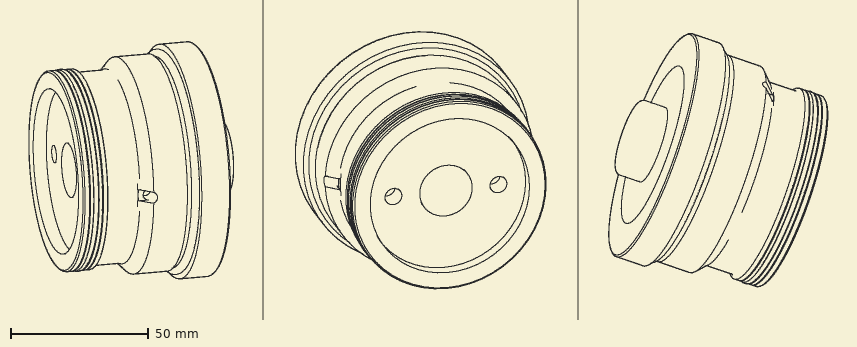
import cadquery as cq
import math


total_length = 63.5
flange_back = 54.0
flange_front = 42.95
flange_ring_width = 2.7
barrel_back = 38.4
barrel_front = 25.7
neck_front = 9.3

flange_radius = 42.9
flange_ring_radius = 41.15
relief_radius = 38.7
barrel_radius = 39.7
neck_radius = 35.3
nose_radius = 36.7
core_radius = 30.2
stub_radius = 14.3

flange_chamfer = 0.6
nose_chamfer = 0.6
neck_fillet = 1.0
relief_fillet = 0.35
stub_fillet = 1.6

slope_angle = math.radians(45)
slope_sin = math.sin(slope_angle)
half_slope_sin = math.sin(slope_angle / 2)
half_slope_cos = math.cos(slope_angle / 2)
half_slope_tan = math.tan(slope_angle / 2)

seal_center = 5.0
seal_groove_width = 5.2
seal_groove_radius = 35.15
seal_clearance = 0.35
bead_diameter = 1.8
bead_outer_radius = 36.95
bead_gap = 0.1

port_diameter = 4.2
port_y = 25.0

core_recess = 5.0
bore_radius = 9.95
bore_depth = flange_back - core_recess
pin_hole_radius = 3.2
pin_hole_offset = 19.9
pin_hole_depth = 8.6


def annulus(inner, outer, y_start, y_end):
    """Ring around Y between two radii and two Y positions."""
    return (
        cq.Workplane("XZ", origin=(0, y_start, 0))
        .circle(outer)
        .circle(inner)
        .extrude(y_start - y_end)
    )


def sleeve_blank():
    """Revolved sleeve with its flange, fixed flange ring, barrel, neck and nose."""
    ring_tube = flange_ring_width / 2
    ring_center_radius = flange_ring_radius - ring_tube
    ring_front = flange_front - flange_ring_width

    relief_front = barrel_back + barrel_radius - relief_radius
    relief_blend_length = relief_fillet * half_slope_tan
    relief_blend_offset = relief_blend_length * slope_sin
    relief_blend_middle = (
        relief_radius + relief_fillet * (1 - half_slope_cos),
        relief_front + relief_blend_length - relief_fillet * half_slope_sin,
    )

    shoulder_front = barrel_front - (barrel_radius - neck_radius)
    blend_length = neck_fillet * half_slope_tan
    blend_rise = blend_length * slope_sin
    blend_end = shoulder_front - blend_length
    blend_middle = (
        neck_radius + neck_fillet * (1 - half_slope_cos),
        blend_end + neck_fillet * half_slope_sin,
    )

    nose_blend_middle = (
        neck_radius + neck_fillet * (1 - slope_sin),
        neck_front + neck_fillet * (1 - slope_sin),
    )

    profile = (
        cq.Workplane("XY")
        .moveTo(core_radius, 0)
        .lineTo(core_radius, flange_back)
        .lineTo(flange_radius - flange_chamfer, flange_back)
        .lineTo(flange_radius, flange_back - flange_chamfer)
        .lineTo(flange_radius, flange_front)
        .lineTo(ring_center_radius, flange_front)
        .threePointArc(
            (flange_ring_radius, flange_front - ring_tube),
            (ring_center_radius, ring_front),
        )
        .lineTo(relief_radius, ring_front)
        .lineTo(relief_radius, relief_front + relief_blend_length)
        .threePointArc(
            relief_blend_middle,
            (relief_radius + relief_blend_offset, relief_front - relief_blend_offset),
        )
        .lineTo(barrel_radius, barrel_back)
        .lineTo(barrel_radius, barrel_front)
        .lineTo(neck_radius + blend_rise, shoulder_front + blend_rise)
        .threePointArc(blend_middle, (neck_radius, blend_end))
        .lineTo(neck_radius, neck_front + neck_fillet)
        .threePointArc(nose_blend_middle, (neck_radius + neck_fillet, neck_front))
        .lineTo(nose_radius, neck_front)
        .lineTo(nose_radius, nose_chamfer)
        .lineTo(nose_radius - nose_chamfer, 0)
        .close()
    )
    return profile.revolve(360, (0, 0, 0), (0, 1, 0))


def add_piston_seal(sleeve):
    """Cut the seal clearances into the nose and add the round bead."""
    groove_start = seal_center - seal_groove_width / 2
    groove_end = seal_center + seal_groove_width / 2
    for start in (groove_start, groove_end - seal_clearance):
        clearance = annulus(seal_groove_radius, flange_radius, start, start + seal_clearance)
        sleeve = sleeve.cut(clearance)

    bead_radius = bead_diameter / 2
    bead_center_radius = bead_outer_radius - bead_radius
    half_width = bead_radius + bead_gap
    bead_channel = annulus(
        bead_center_radius, flange_radius, seal_center - half_width, seal_center + half_width
    )
    bead = (
        cq.Workplane("XY")
        .moveTo(seal_groove_radius, seal_center - bead_radius)
        .lineTo(bead_center_radius, seal_center - bead_radius)
        .threePointArc(
            (bead_outer_radius, seal_center),
            (bead_center_radius, seal_center + bead_radius),
        )
        .lineTo(seal_groove_radius, seal_center + bead_radius)
        .close()
        .revolve(360, (0, 0, 0), (0, 1, 0))
    )
    return sleeve.cut(bead_channel).union(bead)


def cut_port(sleeve, side):
    """Drill one radial port down to the core and mill its slot to the neck surface."""
    port = (
        cq.Workplane("YZ")
        .center(port_y, 0)
        .circle(port_diameter / 2)
        .extrude(side * flange_radius)
    )
    slot_depth = flange_radius - neck_radius
    slot_length = port_y - neck_front - neck_fillet
    slot = cq.Workplane("XY").box(slot_depth, slot_length, port_diameter).translate(
        (side * (neck_radius + slot_depth / 2), port_y - slot_length / 2, 0)
    )
    return sleeve.cut(port).cut(slot)


def make_sleeve():
    sleeve = add_piston_seal(sleeve_blank())
    for side in (-1, 1):
        sleeve = cut_port(sleeve, side)
    return sleeve


def make_core():
    """Core filling the sleeve, with a rear stub, a blind bore and two pin holes."""
    front_plane = cq.Workplane("XZ", origin=(0, core_recess, 0))
    core = front_plane.circle(core_radius).extrude(core_recess - flange_back)
    stub = (
        cq.Workplane("XZ", origin=(0, flange_back, 0))
        .circle(stub_radius)
        .extrude(flange_back - total_length)
        .faces(">Y")
        .edges()
        .fillet(stub_fillet)
    )
    bore = front_plane.circle(bore_radius).extrude(-bore_depth)
    pin_holes = (
        front_plane
        .pushPoints([(-pin_hole_offset, 0), (pin_hole_offset, 0)])
        .circle(pin_hole_radius)
        .extrude(-pin_hole_depth)
    )
    return core.union(stub).cut(bore).cut(pin_holes)


sleeve = make_sleeve()
core = make_core()
result = cq.Compound.makeCompound([sleeve.val(), core.val()])